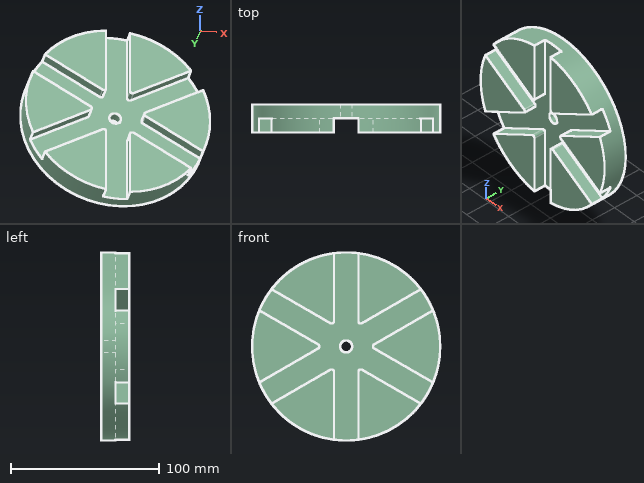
import cadquery as cq

DISC_DIAMETER = 127.0
DISC_THICKNESS = 19.05
BORE_DIAMETER = 7.94

SLOT_COUNT = 3
SLOT_PITCH = 180.0 / SLOT_COUNT
SLOT_WIDTH = 16.5
SLOT_DEPTH = DISC_THICKNESS / 2
PAD_TIP_RADIUS = 1.6

RIM_OVERRUN = 5.0


def disc():
    """Plain round plate with a hole through its axis."""
    return (
        cq.Workplane("XZ", origin=(0, DISC_THICKNESS / 2, 0))
        .circle(DISC_DIAMETER / 2)
        .circle(BORE_DIAMETER / 2)
        .extrude(DISC_THICKNESS)
    )


def slot_star():
    """Crossing slots as one cutting body, rounded where neighbouring slot walls meet."""
    slot_length = DISC_DIAMETER + 2 * RIM_OVERRUN
    slot_floor_y = SLOT_DEPTH - DISC_THICKNESS / 2
    slot = (
        cq.Workplane("XZ", origin=(0, slot_floor_y, 0))
        .rect(SLOT_WIDTH, slot_length)
        .extrude(SLOT_DEPTH)
    )
    star = slot
    for index in range(1, SLOT_COUNT):
        star = star.union(slot.rotate((0, 0, 0), (0, 1, 0), index * SLOT_PITCH))
    star = star.clean()

    inner_box = cq.selectors.BoxSelector(
        (-DISC_DIAMETER / 4, -DISC_THICKNESS, -DISC_DIAMETER / 4),
        (DISC_DIAMETER / 4, DISC_THICKNESS, DISC_DIAMETER / 4),
    )
    return star.edges("|Y").edges(inner_box).fillet(PAD_TIP_RADIUS)


result = disc().cut(slot_star())